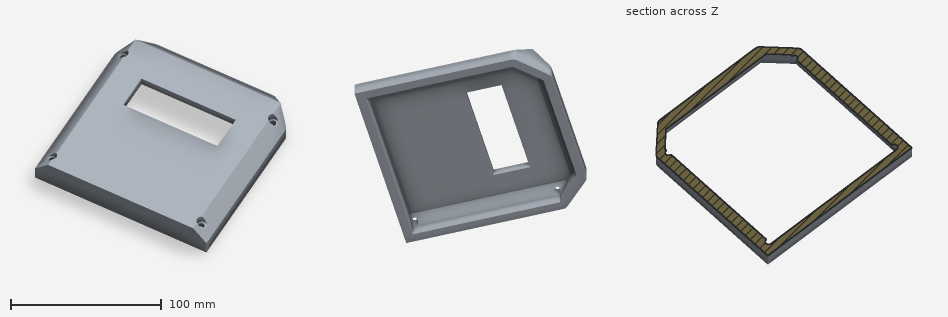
import cadquery as cq
import math

length = 130.0
width = 130.0
height = 20.0

edge_bevel = 10.0
corner_cut = 20.0
corner_radius = 4.8

wall = 6.0

window_length = 71.4
window_width = 25.0
window_y = 15.7

screw_diameter = 4.17
head_diameter = 6.9
head_seat_z = 14.7
screw_inset = 8.25
screw_spacing_y = 98.2
screw_x = length / 2 - screw_inset
front_screw_y = -width / 2 + screw_inset
back_screw_y = front_screw_y + screw_spacing_y


def make_cover_block(inset):
    """Block bevelled along its top side and back edges, with its back corners cut off.

    Every face except the base lies inward of the outer cover by the inset.
    """
    block_length = length - 2 * inset
    block_width = width - 2 * inset
    block_height = height - inset

    leg_loss = inset * (2 - math.sqrt(2))
    bevel = edge_bevel - leg_loss
    cut = corner_cut - leg_loss

    block = (
        cq.Workplane("XY")
        .box(block_length, block_width, block_height, centered=(True, True, False))
        .faces(">Z")
        .edges("<X or >X or >Y")
        .chamfer(bevel)
    )
    outline = (
        cq.Workplane("XY")
        .box(block_length, block_width, block_height, centered=(True, True, False))
        .edges("|Z and >Y")
        .chamfer(cut)
    )
    if inset < corner_radius:
        outline = outline.edges("|Z").edges("not <Y").fillet(corner_radius - inset)
    return block.intersect(outline)


def make_window():
    """Rectangular opening for the display."""
    return (
        cq.Workplane("XY")
        .center(0, window_y)
        .rect(window_length, window_width)
        .extrude(height)
    )


def make_screw_hole(x, y):
    """Vertical screw hole with a flat seat for the screw head."""
    shank = cq.Workplane("XY").center(x, y).circle(screw_diameter / 2).extrude(height)
    head = (
        cq.Workplane("XY", origin=(x, y, head_seat_z))
        .circle(head_diameter / 2)
        .extrude(height - head_seat_z)
    )
    return shank.union(head)


cover = make_cover_block(0).cut(make_cover_block(wall))
cover = cover.cut(make_window())
for x in (-screw_x, screw_x):
    for y in (front_screw_y, back_screw_y):
        cover = cover.cut(make_screw_hole(x, y))

result = cover